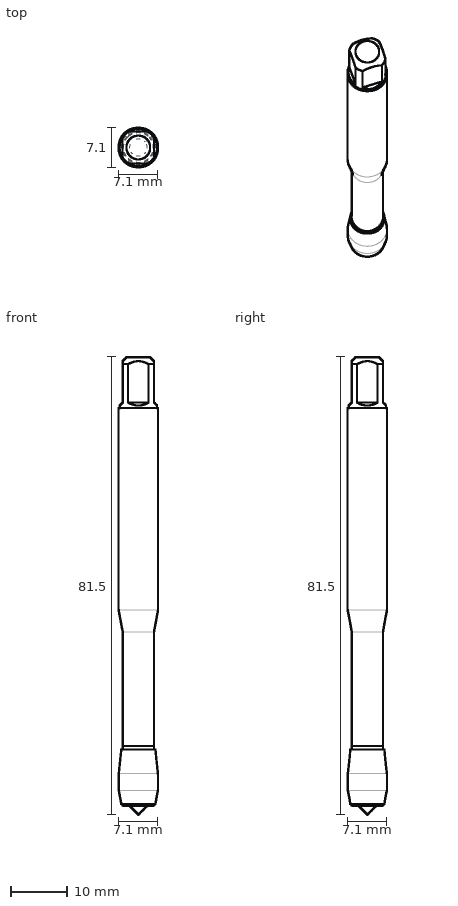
import cadquery as cq

total_length = 81.55
square_bottom_z = 73.5
shoulder_z = 72.5
shank_bottom_z = 36.5
neck_top_z = 32.6
joint_z = 12.2
collar_z = 11.7
land_top_z = 7.3
land_bottom_z = 4.3
lead_bottom_z = 1.95
end_face_z = 1.55

shank_diameter = 7.1
drive_corner_diameter = 6.7
drive_top_diameter = 4.2
neck_diameter = 5.6
collar_diameter = 6.1
land_diameter = 7.0
lead_diameter = 6.1
end_face_diameter = 5.3

across_flats = 5.6

shank_radius = shank_diameter / 2
corner_radius = drive_corner_diameter / 2
drive_top_radius = drive_top_diameter / 2
neck_radius = neck_diameter / 2
half_flats = across_flats / 2

drive_bevel = corner_radius - drive_top_radius
point_radius = end_face_z


def revolve_profile(points):
    """Revolve a closed (radius, height) outline about the Z axis."""
    return cq.Workplane("XZ").polyline(points).close().revolve(360, (0, 0), (0, 1))


def make_flat_cutter():
    """Material removed beside one flat, ending in a ramp at its lower edge."""
    depth = shank_diameter - half_flats
    outline = [
        (half_flats, square_bottom_z),
        (half_flats + depth, square_bottom_z - depth),
        (half_flats + depth, total_length),
        (half_flats, total_length),
    ]
    return cq.Workplane("XZ").polyline(outline).close().extrude(shank_radius, both=True)


def make_shank():
    """Neck, shank and square drive with bevelled top."""
    shank = revolve_profile([
        (0, joint_z),
        (neck_radius, joint_z),
        (neck_radius, neck_top_z),
        (shank_radius, shank_bottom_z),
        (shank_radius, shoulder_z),
        (corner_radius, shoulder_z),
        (corner_radius, total_length - drive_bevel),
        (drive_top_radius, total_length),
        (0, total_length),
    ])
    flat_cutter = make_flat_cutter()
    for angle in (0, 90, 180, 270):
        shank = shank.cut(flat_cutter.rotate((0, 0, 0), (0, 0, 1), angle))
    return shank


def make_head():
    """Working head with a tapered land, a conical point and a short neck-sized stub at the joint."""
    return revolve_profile([
        (0, 0),
        (point_radius, end_face_z),
        (end_face_diameter / 2, end_face_z),
        (lead_diameter / 2, lead_bottom_z),
        (land_diameter / 2, land_bottom_z),
        (land_diameter / 2, land_top_z),
        (collar_diameter / 2, collar_z),
        (neck_radius, collar_z),
        (neck_radius, joint_z),
        (0, joint_z),
    ])


shank = make_shank()
head = make_head()

result = cq.Compound.makeCompound([shank.val(), head.val()])